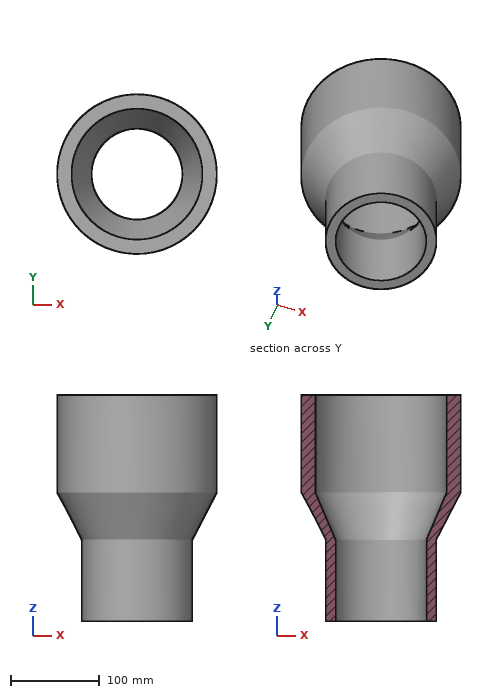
import cadquery as cq

total_height = 255.0
large_diameter = 180.0
small_diameter = 125.0
large_wall = 16.3
small_wall = 11.5
large_length = 110.0
small_length = 92.0
blend_radius = 2.0

large_radius = large_diameter / 2
small_radius = small_diameter / 2
large_bore_radius = large_radius - large_wall
small_bore_radius = small_radius - small_wall
cone_bottom = small_length
cone_top = total_height - large_length


def stepped_solid(lower_radius, upper_radius):
    """Lower cylinder, cone and upper cylinder, blended where they meet."""
    solid = (
        cq.Workplane("XZ")
        .moveTo(0, 0)
        .lineTo(lower_radius, 0)
        .lineTo(lower_radius, cone_bottom)
        .lineTo(upper_radius, cone_top)
        .lineTo(upper_radius, total_height)
        .lineTo(0, total_height)
        .close()
        .revolve(360, (0, 0, 0), (0, 1, 0))
    )
    cone_ends = solid.edges("%CIRCLE").edges("(not <Z) and (not >Z)")
    return cone_ends.fillet(blend_radius)


body = stepped_solid(small_radius, large_radius)
bore = stepped_solid(small_bore_radius, large_bore_radius)
result = body.cut(bore)